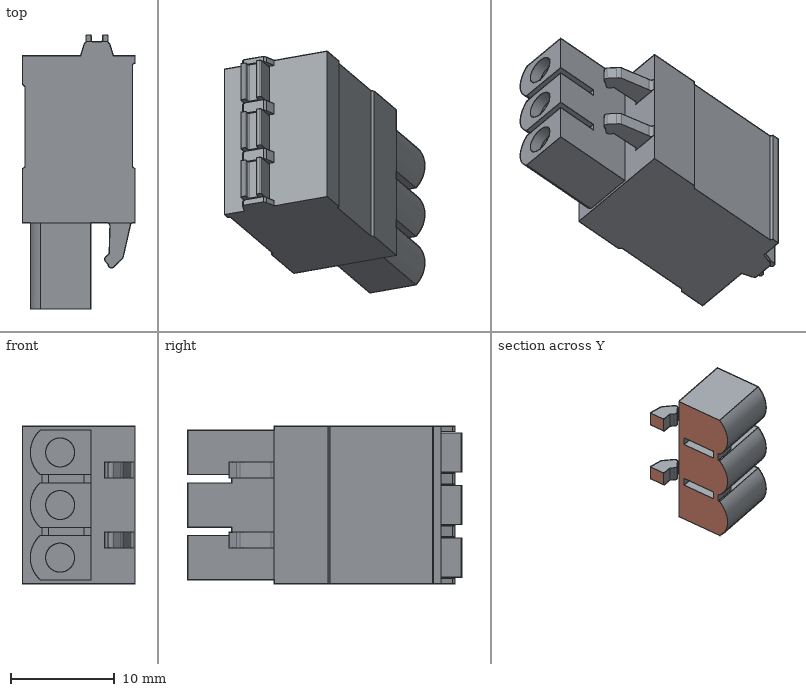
import cadquery as cq
import math


POLES = 3
PITCH = 5.08
HOUSING_WIDTH = 10.9
HOUSING_LENGTH = 16.15
HOUSING_HEIGHT = POLES * PITCH
RECESS_DEPTH = 0.25
RECESS_RAMP = 0.22
RECESS_FRONT = 5.2
LEFT_RECESS_BACK = 13.37
RIGHT_RECESS_BACK = 15.42
RIGHT_BACK_RAMP = 0.12

SLEEVE_LENGTH = 8.35
SLEEVE_HEIGHT = 4.3
SLEEVE_RADIUS = 2.88
SLEEVE_AXIS_X = -1.8
SLEEVE_FLAT_X = 1.17
BORE_DIAMETER = 2.8
BORE_DEPTH = 1.2

WALL_THICKNESS = 0.65
WALL_LENGTH = 4.1
WALL_LEFT_X = -3.56

LATCH_HEIGHT = 1.53
LATCH_Z = 3.37
LATCH_INNER_X = 3.0
LATCH_OUTER_X = 4.98
LATCH_FLARE = 0.3
LATCH_NECK = (2.93, -3.0)
LATCH_NOSE_START = (2.65, -3.24)
LATCH_NOSE = (2.5, -3.5)
LATCH_NOSE_END = (2.6, -3.76)
LATCH_TIP_START = (2.83, -4.02)
LATCH_TIP = (2.99, -4.32)
LATCH_TIP_END = (3.36, -4.3)
LATCH_HEEL_START = (4.03, -3.64)
LATCH_HEEL = (4.2, -3.48)
LATCH_HEEL_END = (4.31, -3.28)

RIDGE_X = 1.76
RIDGE_HEIGHT = 1.35
RIDGE_SHOULDER_HEIGHT = 1.1
RIDGE_BASE_WIDTH = 3.18
RIDGE_SHOULDER_WIDTH = 2.5
RIDGE_TOP_WIDTH = 2.1
FORK_WIDTH = 2.16
FORK_LENGTH = 2.0
FORK_HEIGHT = 3.8
FORK_SLOT_WIDTH = 1.08
FORK_TIP_FILLET = 0.15
FORK_ROOT_FILLET = 0.12
FORK_GAP = 0.1

OVERLAP = 0.5

POLE_HEIGHTS = [(i - (POLES - 1) / 2) * PITCH for i in range(POLES)]
GAP_HEIGHTS = [(lower + upper) / 2 for lower, upper in zip(POLE_HEIGHTS, POLE_HEIGHTS[1:])]


def extrude_along_z(profile, height, z_center):
    """Extrude a closed XY profile by height, centred on z_center."""
    return profile.extrude(height / 2, both=True).translate((0, 0, z_center))


def block(x_min, x_max, y_min, y_max, height, z_center):
    """Axis-aligned block, centred on z_center in height."""
    size = (x_max - x_min, y_max - y_min, height)
    center = ((x_min + x_max) / 2, (y_min + y_max) / 2, z_center)
    return cq.Workplane("XY").box(*size).translate(center)


def make_housing():
    """Housing block with a shallow ramped recess on both sides."""
    side = HOUSING_WIDTH / 2
    recessed = side - RECESS_DEPTH
    profile = (
        cq.Workplane("XY")
        .moveTo(-side, 0)
        .lineTo(side, 0)
        .lineTo(side, RECESS_FRONT)
        .lineTo(recessed, RECESS_FRONT + RECESS_RAMP)
        .lineTo(recessed, RIGHT_RECESS_BACK - RIGHT_BACK_RAMP)
        .lineTo(side, RIGHT_RECESS_BACK)
        .lineTo(side, HOUSING_LENGTH)
        .lineTo(-side, HOUSING_LENGTH)
        .lineTo(-side, LEFT_RECESS_BACK)
        .lineTo(-recessed, LEFT_RECESS_BACK - RECESS_RAMP)
        .lineTo(-recessed, RECESS_FRONT + RECESS_RAMP)
        .lineTo(-side, RECESS_FRONT)
        .close()
    )
    return extrude_along_z(profile, HOUSING_HEIGHT, 0)


def make_sleeve(z_center):
    """D-shaped contact sleeve with a shallow blind bore in its front end."""
    half = SLEEVE_HEIGHT / 2
    arc_end_x = SLEEVE_AXIS_X - math.sqrt(SLEEVE_RADIUS**2 - half**2)
    front = cq.Workplane("XZ", origin=(0, -SLEEVE_LENGTH, z_center))
    sleeve = (
        front.moveTo(SLEEVE_FLAT_X, -half)
        .lineTo(SLEEVE_FLAT_X, half)
        .lineTo(arc_end_x, half)
        .threePointArc((SLEEVE_AXIS_X - SLEEVE_RADIUS, 0), (arc_end_x, -half))
        .close()
        .extrude(-(SLEEVE_LENGTH + OVERLAP))
    )
    bore = front.center(SLEEVE_AXIS_X, 0).circle(BORE_DIAMETER / 2).extrude(-BORE_DEPTH)
    return sleeve.cut(bore)


def make_sleeve_wall(x_min, z_center):
    """Thin wall bridging the gap between neighbouring sleeves."""
    wall_height = PITCH - SLEEVE_HEIGHT + OVERLAP
    x_max = x_min + WALL_THICKNESS
    return block(x_min, x_max, -WALL_LENGTH, OVERLAP, wall_height, z_center)


def make_latch(z_center):
    """Tapered latch arm with flared root and a hooked, rounded tip."""
    root_inner = (LATCH_INNER_X - LATCH_FLARE, 0)
    root_outer = (LATCH_OUTER_X + LATCH_FLARE, 0)
    arm_inner = (LATCH_INNER_X, -LATCH_FLARE)
    arm_outer = (LATCH_OUTER_X, -LATCH_FLARE)
    bulge = LATCH_FLARE * (1 - math.sqrt(0.5))
    profile = (
        cq.Workplane("XY")
        .moveTo(root_inner[0], OVERLAP)
        .lineTo(*root_inner)
        .threePointArc((LATCH_INNER_X - bulge, -bulge), arm_inner)
        .lineTo(*LATCH_NECK)
        .lineTo(*LATCH_NOSE_START)
        .threePointArc(LATCH_NOSE, LATCH_NOSE_END)
        .lineTo(*LATCH_TIP_START)
        .threePointArc(LATCH_TIP, LATCH_TIP_END)
        .lineTo(*LATCH_HEEL_START)
        .threePointArc(LATCH_HEEL, LATCH_HEEL_END)
        .lineTo(*arm_outer)
        .threePointArc((LATCH_OUTER_X + bulge, -bulge), root_outer)
        .lineTo(root_outer[0], OVERLAP)
        .close()
    )
    return extrude_along_z(profile, LATCH_HEIGHT, z_center)


def make_ridge():
    """Full-height ridge on the back face, cleared where the forked blocks stand."""
    root = HOUSING_LENGTH - OVERLAP
    right_side = [
        (RIDGE_BASE_WIDTH / 2, root),
        (RIDGE_BASE_WIDTH / 2, HOUSING_LENGTH),
        (RIDGE_SHOULDER_WIDTH / 2, HOUSING_LENGTH + RIDGE_SHOULDER_HEIGHT),
        (RIDGE_TOP_WIDTH / 2, HOUSING_LENGTH + RIDGE_HEIGHT),
    ]
    left_side = [(-x, y) for x, y in reversed(right_side)]
    profile = cq.Workplane("XY", origin=(RIDGE_X, 0, 0)).polyline(right_side + left_side).close()
    ridge = extrude_along_z(profile, HOUSING_HEIGHT, 0)
    half_base = RIDGE_BASE_WIDTH / 2
    clearance_height = FORK_HEIGHT + 2 * FORK_GAP
    for z_center in POLE_HEIGHTS:
        clearance = block(
            RIDGE_X - half_base,
            RIDGE_X + half_base,
            HOUSING_LENGTH,
            HOUSING_LENGTH + RIDGE_HEIGHT,
            clearance_height,
            z_center,
        )
        ridge = ridge.cut(clearance)
    return ridge


def make_fork(z_center):
    """Block with a slot along Z that leaves two small prongs."""
    half = FORK_WIDTH / 2
    tip = HOUSING_LENGTH + FORK_LENGTH
    slot_floor = HOUSING_LENGTH + RIDGE_HEIGHT
    half_slot = FORK_SLOT_WIDTH / 2
    fork = block(
        RIDGE_X - half, RIDGE_X + half, HOUSING_LENGTH - OVERLAP, tip, FORK_HEIGHT, z_center
    )
    slot = block(RIDGE_X - half_slot, RIDGE_X + half_slot, slot_floor, tip, FORK_HEIGHT, z_center)
    slot = slot.edges("|Z and <Y").fillet(FORK_ROOT_FILLET)
    fork = fork.cut(slot)
    return fork.faces(">Y").edges("|Z").fillet(FORK_TIP_FILLET)


result = make_housing().union(make_ridge())
for height in POLE_HEIGHTS:
    result = result.union(make_sleeve(height)).union(make_fork(height))
for height in GAP_HEIGHTS:
    for wall_x in (WALL_LEFT_X, SLEEVE_FLAT_X - WALL_THICKNESS):
        result = result.union(make_sleeve_wall(wall_x, height))
for height in (-LATCH_Z, LATCH_Z):
    result = result.union(make_latch(height))